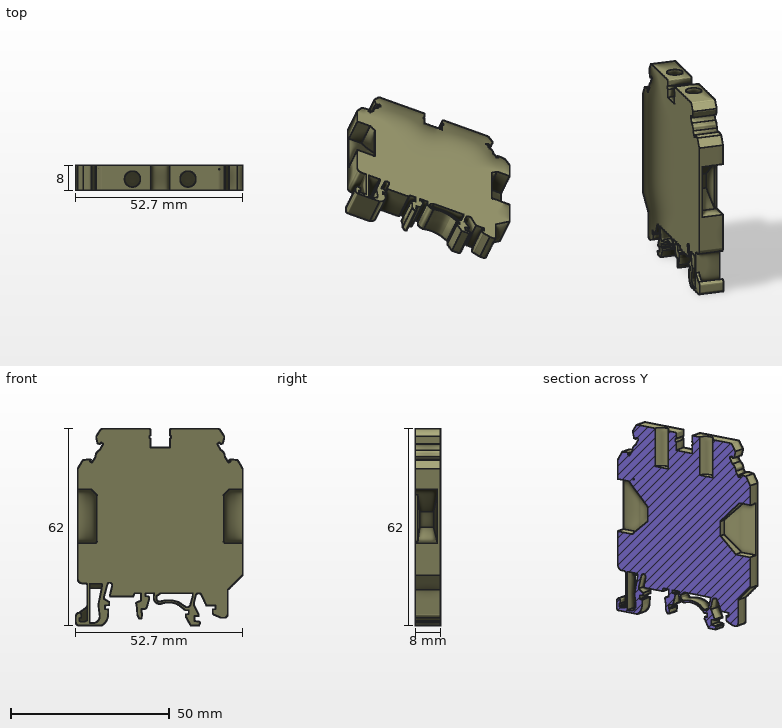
import cadquery as cq

HEIGHT = 62.0
THICKNESS = 8.0
HALF_WIDTH = 26.05
BACK_WALL = 1.05
BACK_WALL_Y = THICKNESS / 2 - BACK_WALL

SIDE_UNDERSIDE = 13.25
PAD_UNDERSIDE = 9.1
RAIL_UNDERSIDE = 10.15
HEEL_UNDERSIDE = 6.3
SIDE_CORNER_RADIUS = 1.55

GROOVE_HALF_WIDTH = 3.05
GROOVE_DEPTH = 5.8
GROOVE_EDGE_RADIUS = 0.45
NICK_RADIUS = 0.6
NICK_X = 2.8
NICK_Z = 59.4

SCREW_HOLE_DIAMETER = 5.0
SCREW_HOLE_X = 8.75
SCREW_HOLE_Y = -0.45
SCREW_HOLE_DEPTH = 12.4

RECESS_DEPTH = 6.1
RECESS_BOTTOM = 26.0
RECESS_TOP = 42.9
RECESS_TOP_CHAMFER = 1.75
RECESS_BOTTOM_CHAMFER = 0.4
FUNNEL_DEPTH = 5.6
FUNNEL_FRONT_Y = -3.15
THROAT_FRONT_Y = -2.55
THROAT_BACK_Y = 1.8
THROAT_BOTTOM = 31.05
THROAT_TOP = 35.85

HOOK_TIP_X = -26.6
STRAP_OUTER_X = -23.0
STRAP_INNER_X = -22.15
STRAP_ROOT_RADIUS = 0.4
HOOK_CORNER_RADIUS = 1.0
BRIDGE_HEIGHT = 1.55
BRIDGE_END_X = -18.0
WEB_ROOT_X = -25.65
WEB_ROOT_Z = 0.6


def through(profile):
    """Extrude a closed XZ profile through the whole thickness."""
    return profile.extrude(THICKNESS).translate((0, THICKNESS / 2, 0))


def both_ends(shape):
    """Pair a shape at the -X end with its mirror image at the +X end."""
    return shape.union(shape.mirror("YZ"))


def housing():
    flank = [
        (-HALF_WIDTH, 49.35),
        (-24.6, 51.8),
        (-24.3, 52.15),
        (-22.7, 52.4),
    ]
    crest_middle = (-22.2, 52.4)
    shoulder = [
        (-21.7, 52.2),
        (-22.15, 51.8),
        (-21.5, 51.35),
        (-20.4, 53.15),
    ]
    crown = [
        (-19.1, 55.3),
        (-18.0, 57.2),
        (-18.6, 57.65),
        (-19.1, 57.1),
        (-19.7, 57.35),
        (-20.2, 59.15),
        (-20.2, 59.6),
        (-18.85, 61.7),
    ]
    corner_middle = (-18.6, 61.9)
    corner_end = (-18.3, HEIGHT)
    roll_start = shoulder[-1]
    roll_middle = (-20.1, 54.4)
    roll_end = crown[0]

    def mirrored(points):
        return [(-x, z) for x, z in reversed(points)]

    outline = (
        cq.Workplane("XZ")
        .polyline(flank)
        .threePointArc(crest_middle, shoulder[0])
        .polyline(shoulder, includeCurrent=False)
        .threePointArc(roll_middle, roll_end)
        .polyline(crown, includeCurrent=False)
        .threePointArc(corner_middle, corner_end)
        .lineTo(*mirrored([corner_end])[0])
        .threePointArc(*mirrored([crown[-1], corner_middle]))
        .polyline(mirrored(crown), includeCurrent=False)
        .threePointArc(*mirrored([roll_start, roll_middle]))
        .polyline(mirrored(shoulder), includeCurrent=False)
        .threePointArc(*mirrored([flank[-1], crest_middle]))
        .polyline(mirrored(flank), includeCurrent=False)
        .lineTo(HALF_WIDTH, 15.95)
        .lineTo(21.3, 11.3)
        .lineTo(21.3, 3.7)
        .threePointArc((20.95, 2.8), (20.0, 2.4))
        .lineTo(19.2, 2.4)
        .lineTo(17.2, 3.3)
        .threePointArc((16.7, 3.6), (16.5, 4.1))
        .lineTo(16.5, 5.2)
        .lineTo(17.35, 5.2)
        .lineTo(17.35, HEEL_UNDERSIDE)
        .lineTo(14.5, HEEL_UNDERSIDE)
        .lineTo(12.9, 9.75)
        .threePointArc((12.65, 10.05), (12.3, RAIL_UNDERSIDE))
        .lineTo(-8.05, RAIL_UNDERSIDE)
        .lineTo(-8.5, PAD_UNDERSIDE)
        .lineTo(-15.7, PAD_UNDERSIDE)
        .lineTo(-15.9, 9.55)
        .lineTo(-15.2, 12.4)
        .threePointArc((-15.6, 13.45), (-16.5, SIDE_UNDERSIDE))
        .lineTo(SIDE_CORNER_RADIUS - HALF_WIDTH, SIDE_UNDERSIDE)
        .radiusArc((-HALF_WIDTH, SIDE_UNDERSIDE + SIDE_CORNER_RADIUS), SIDE_CORNER_RADIUS)
        .close()
    )
    return through(outline)


def marking_groove():
    """Slot with flared top edges and a rounded nick in each wall."""
    mouth_x = GROOVE_HALF_WIDTH + GROOVE_EDGE_RADIUS
    edge_z = HEIGHT - GROOVE_EDGE_RADIUS
    groove = (
        cq.Workplane("XZ")
        .moveTo(-mouth_x, HEIGHT)
        .radiusArc((-GROOVE_HALF_WIDTH, edge_z), GROOVE_EDGE_RADIUS)
        .lineTo(-GROOVE_HALF_WIDTH, HEIGHT - GROOVE_DEPTH)
        .lineTo(GROOVE_HALF_WIDTH, HEIGHT - GROOVE_DEPTH)
        .lineTo(GROOVE_HALF_WIDTH, edge_z)
        .radiusArc((mouth_x, HEIGHT), GROOVE_EDGE_RADIUS)
        .close()
    )
    nicks = cq.Workplane("XZ").pushPoints([(-NICK_X, NICK_Z), (NICK_X, NICK_Z)]).circle(NICK_RADIUS)
    return through(groove).union(through(nicks))


def screw_holes():
    return (
        cq.Workplane("XY", origin=(0, 0, HEIGHT))
        .pushPoints([(-SCREW_HOLE_X, SCREW_HOLE_Y), (SCREW_HOLE_X, SCREW_HOLE_Y)])
        .circle(SCREW_HOLE_DIAMETER / 2)
        .extrude(-SCREW_HOLE_DEPTH)
    )


def wire_entries():
    floor_x = -HALF_WIDTH + RECESS_DEPTH
    floor_bottom = RECESS_BOTTOM + RECESS_BOTTOM_CHAMFER
    floor_top = RECESS_TOP - RECESS_TOP_CHAMFER
    recess = (
        cq.Workplane("XZ", origin=(0, BACK_WALL_Y, 0))
        .moveTo(-HALF_WIDTH, RECESS_BOTTOM)
        .lineTo(floor_x - RECESS_BOTTOM_CHAMFER, RECESS_BOTTOM)
        .lineTo(floor_x, floor_bottom)
        .lineTo(floor_x, floor_top)
        .lineTo(floor_x - RECESS_TOP_CHAMFER, RECESS_TOP)
        .lineTo(-HALF_WIDTH, RECESS_TOP)
        .close()
        .extrude(THICKNESS - BACK_WALL)
    )
    mouth = [
        (FUNNEL_FRONT_Y, floor_bottom),
        (BACK_WALL_Y, floor_bottom),
        (BACK_WALL_Y, floor_top),
        (FUNNEL_FRONT_Y, floor_top),
    ]
    throat = [
        (THROAT_FRONT_Y, THROAT_BOTTOM),
        (THROAT_BACK_Y, THROAT_BOTTOM),
        (THROAT_BACK_Y, THROAT_TOP),
        (THROAT_FRONT_Y, THROAT_TOP),
    ]
    funnel = (
        cq.Workplane("YZ", origin=(floor_x, 0, 0))
        .polyline(mouth)
        .close()
        .workplane(offset=FUNNEL_DEPTH)
        .polyline(throat)
        .close()
        .loft(ruled=True)
    )
    return both_ends(recess.union(funnel))


def latch_foot():
    """Flexible loop with a release hook outside and a rail notch inside."""
    outline = (
        cq.Workplane("XZ")
        .moveTo(-16.5, SIDE_UNDERSIDE)
        .lineTo(-16.75, 12.5)
        .lineTo(-17.8, 8.55)
        .lineTo(-16.0, 7.45)
        .lineTo(-16.0, 6.45)
        .lineTo(-17.35, 6.3)
        .lineTo(-17.35, 5.2)
        .lineTo(-16.3, 5.15)
        .lineTo(-16.35, 3.5)
        .threePointArc((-16.9, 1.5), (-18.5, 0))
        .lineTo(HOOK_TIP_X + HOOK_CORNER_RADIUS, 0)
        .radiusArc((HOOK_TIP_X, HOOK_CORNER_RADIUS), HOOK_CORNER_RADIUS)
        .lineTo(HOOK_TIP_X, 3.1)
        .threePointArc((-26.35, 3.65), (-25.7, 4.1))
        .threePointArc((-25.2, 3.95), (-24.9, 3.55))
        .lineTo(-24.9, 2.5)
        .lineTo(-25.4, 2.35)
        .lineTo(-25.4, 1.55)
        .lineTo(-25.05, 1.3)
        .lineTo(-23.7, 1.3)
        .lineTo(STRAP_OUTER_X, 1.7)
        .lineTo(STRAP_OUTER_X, SIDE_UNDERSIDE - STRAP_ROOT_RADIUS)
        .radiusArc((STRAP_OUTER_X - STRAP_ROOT_RADIUS, SIDE_UNDERSIDE), -STRAP_ROOT_RADIUS)
        .close()
    )
    opening = (
        cq.Workplane("XZ")
        .moveTo(STRAP_INNER_X, SIDE_UNDERSIDE)
        .lineTo(-18.5, SIDE_UNDERSIDE)
        .lineTo(-18.2, 12.85)
        .lineTo(-19.5, 6.6)
        .lineTo(-19.1, 3.2)
        .threePointArc((-19.4, 1.8), (-21.1, 0.85))
        .lineTo(STRAP_INNER_X, 0.85)
        .close()
    )
    hook_web = (
        cq.Workplane("XZ", origin=(0, BACK_WALL_Y, 0))
        .moveTo(STRAP_OUTER_X, 6.3)
        .threePointArc((-23.25, 5.8), (-23.6, 5.45))
        .lineTo(WEB_ROOT_X, 3.95)
        .lineTo(WEB_ROOT_X, WEB_ROOT_Z)
        .lineTo(STRAP_OUTER_X, WEB_ROOT_Z)
        .close()
        .extrude(-BACK_WALL)
    )
    bridge = (
        cq.Workplane("XZ", origin=(0, BACK_WALL_Y, 0))
        .moveTo(STRAP_INNER_X, SIDE_UNDERSIDE)
        .lineTo(BRIDGE_END_X, SIDE_UNDERSIDE)
        .lineTo(BRIDGE_END_X, SIDE_UNDERSIDE - BRIDGE_HEIGHT)
        .lineTo(STRAP_INNER_X, SIDE_UNDERSIDE - BRIDGE_HEIGHT)
        .close()
        .extrude(-BACK_WALL)
    )
    return through(outline).cut(through(opening)).union(hook_web).union(bridge)


def centre_pin():
    outline = (
        cq.Workplane("XZ")
        .moveTo(-6.1, RAIL_UNDERSIDE)
        .lineTo(-4.6, RAIL_UNDERSIDE)
        .lineTo(-4.6, 9.3)
        .lineTo(-3.85, 9.3)
        .lineTo(-3.4, 8.9)
        .lineTo(-3.5, 8.25)
        .lineTo(-4.15, 5.95)
        .threePointArc((-4.45, 5.45), (-4.95, 5.2))
        .lineTo(-5.9, 5.2)
        .lineTo(-5.9, 4.15)
        .lineTo(-5.65, 3.9)
        .lineTo(-5.8, 2.4)
        .threePointArc((-6.25, 2.1), (-6.7, 2.3))
        .lineTo(-7.25, 3.4)
        .lineTo(-7.4, 5.7)
        .lineTo(-7.6, 7.05)
        .lineTo(-7.25, 7.45)
        .lineTo(-6.1, 7.9)
        .close()
    )
    return through(outline)


def spring_foot():
    """Bowed arm hanging below the rail seat, ending in a clip with two notches."""
    outline = (
        cq.Workplane("XZ")
        .moveTo(-1.9, RAIL_UNDERSIDE)
        .lineTo(11.95, RAIL_UNDERSIDE)
        .threePointArc((11.55, 10.0), (11.2, 9.5))
        .lineTo(10.65, 7.3)
        .lineTo(10.65, 6.45)
        .lineTo(12.15, 3.4)
        .lineTo(12.15, 3.05)
        .lineTo(10.85, 3.05)
        .lineTo(10.85, 1.5)
        .lineTo(12.3, 1.3)
        .lineTo(12.65, 1.0)
        .lineTo(12.2, 0)
        .lineTo(9.6, 0)
        .lineTo(8.0, 2.85)
        .lineTo(8.05, 3.55)
        .lineTo(8.9, 3.7)
        .lineTo(8.9, 4.8)
        .lineTo(7.95, 4.8)
        .lineTo(5.95, 6.4)
        .threePointArc((3.2, 7.25), (0.0, 6.75))
        .threePointArc((-1.55, 7.45), (-2.1, 9.0))
        .close()
    )
    opening = (
        cq.Workplane("XZ")
        .moveTo(0.1, RAIL_UNDERSIDE)
        .lineTo(10.2, RAIL_UNDERSIDE)
        .lineTo(10.2, 9.4)
        .lineTo(9.5, 6.7)
        .threePointArc((8.9, 5.95), (8.05, 5.9))
        .lineTo(6.1, 7.25)
        .threePointArc((3.1, 8.05), (0.0, 7.6))
        .threePointArc((-0.75, 7.75), (-1.1, 8.3))
        .lineTo(-1.1, 9.3)
        .close()
    )
    return through(outline).cut(through(opening))


result = (
    housing()
    .cut(marking_groove())
    .cut(screw_holes())
    .cut(wire_entries())
    .union(latch_foot())
    .union(centre_pin())
    .union(spring_foot())
)